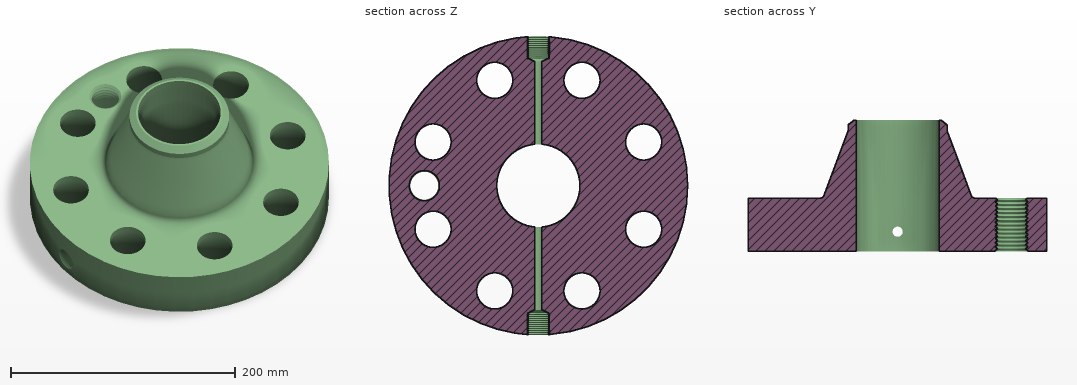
import cadquery as cq
import math

flange_diameter = 266.7
flange_thickness = 47.8
overall_height = 117.35
bore_diameter = 73.66

neck_diameter = 88.9
neck_bottom_z = 107.3
hub_base_diameter = 133.4
hub_fillet_radius = 3.0
weld_land_width = 1.8
weld_bevel_angle = 37.5

bolt_hole_count = 8
bolt_hole_diameter = 31.8
bolt_circle_diameter = 203.2

jack_major_diameter = 28.575
jack_pitch = 25.4 / 7
jack_thread_depth = 0.54 * jack_pitch

tap_major_diameter = 21.0
tap_pitch = 25.4 / 14
tap_thread_depth = tap_pitch * math.sqrt(3) / 2
tap_turns = 11
tap_axis_z = 17.6
tap_passage_diameter = 9.0
drill_point_angle = 118.0

selection_margin = 0.1


def make_body():
    """Revolve the flange and its weld-neck hub about Z, then round the foot of the hub."""
    bore_radius = bore_diameter / 2
    flange_radius = flange_diameter / 2
    neck_radius = neck_diameter / 2
    hub_base_radius = hub_base_diameter / 2
    land_radius = bore_radius + weld_land_width
    bevel_height = (neck_radius - land_radius) * math.tan(math.radians(weld_bevel_angle))
    body = (
        cq.Workplane("XZ")
        .moveTo(bore_radius, 0)
        .lineTo(flange_radius, 0)
        .lineTo(flange_radius, flange_thickness)
        .lineTo(hub_base_radius, flange_thickness)
        .lineTo(neck_radius, neck_bottom_z)
        .lineTo(neck_radius, overall_height - bevel_height)
        .lineTo(land_radius, overall_height)
        .lineTo(bore_radius, overall_height)
        .close()
        .revolve(360, (0, 0, 0), (0, 1, 0))
    )
    reach = hub_base_radius + selection_margin
    hub_foot = cq.selectors.BoxSelector(
        (-reach, -reach, flange_thickness - selection_margin),
        (reach, reach, flange_thickness + selection_margin),
        boundingbox=True,
    )
    return body.edges(hub_foot).fillet(hub_fillet_radius)


def make_bolt_holes():
    """Cylinders for the bolt circle."""
    first_angle = 180 / bolt_hole_count
    return (
        cq.Workplane("XY")
        .polarArray(bolt_circle_diameter / 2, first_angle, 360, bolt_hole_count)
        .circle(bolt_hole_diameter / 2)
        .extrude(flange_thickness)
    )


def thread_points(major_diameter, pitch, thread_depth, turns):
    """Zigzag of a ring thread, as (radius, distance along the axis), starting at the major diameter."""
    major_radius = major_diameter / 2
    points = [(major_radius, 0)]
    for turn in range(turns):
        points.append((major_radius - thread_depth, (turn + 0.5) * pitch))
        points.append((major_radius, (turn + 1) * pitch))
    return points


def make_jack_hole():
    """Threaded cutter, starting at the flange's upper face and running out of the lower one."""
    turns = math.ceil(flange_thickness / jack_pitch)
    thread = thread_points(jack_major_diameter, jack_pitch, jack_thread_depth, turns)
    cutter = (
        cq.Workplane("XZ")
        .polyline([(0, 0), *thread, (0, turns * jack_pitch)])
        .close()
        .revolve(360, (0, 0, 0), (0, 1, 0))
    )
    pointing_down = cutter.rotate((0, 0, 0), (1, 0, 0), 180)
    return pointing_down.translate((-bolt_circle_diameter / 2, 0, flange_thickness))


def make_pressure_tap():
    """Cutter for the -Y tap: ring thread, conical drill point and passage to the bore."""
    thread = thread_points(tap_major_diameter, tap_pitch, tap_thread_depth, tap_turns)
    thread_length = tap_turns * tap_pitch
    minor_radius = tap_major_diameter / 2 - tap_thread_depth
    passage_radius = tap_passage_diameter / 2
    passage_end = flange_diameter / 2
    cone_length = (minor_radius - passage_radius) / math.tan(math.radians(drill_point_angle / 2))
    outline = [
        (0, 0),
        *thread,
        (minor_radius, thread_length),
        (passage_radius, thread_length + cone_length),
        (passage_radius, passage_end),
        (0, passage_end),
    ]
    cutter = cq.Workplane("XY").polyline(outline).close().revolve(360, (0, 0, 0), (0, 1, 0))
    return cutter.translate((0, -flange_diameter / 2, tap_axis_z))


front_tap = make_pressure_tap()
back_tap = front_tap.mirror("XZ")

result = make_body().cut(make_bolt_holes()).cut(make_jack_hole()).cut(front_tap).cut(back_tap)